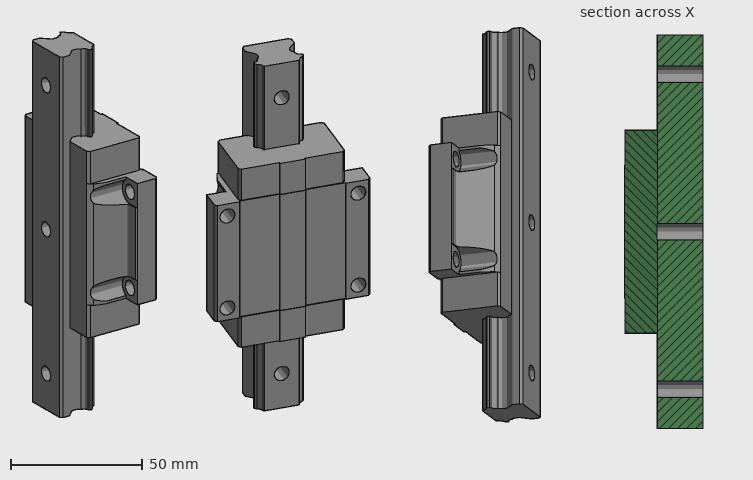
import cadquery as cq
import math


rail_length = 150.0
rail_half_width = 10.0
rail_height = 17.5
rail_foot_chamfer = 1.0
rail_hole_dia = 6.0
rail_hole_pitch = 60.0

waist_half_width = 6.6
waist_bottom = 7.4
waist_top = 9.9
waist_fillet = 1.2
foot_shoulder = waist_bottom - (rail_half_width - waist_half_width)

rib_bottom = 13.4
rib_top = 14.3
lower_groove_start_x = 7.6
lower_groove_start = (lower_groove_start_x, waist_top + lower_groove_start_x - waist_half_width)
lower_groove_mid = (8.1, 12.35)
lower_groove_end = (9.4, 13.0)
upper_groove_start = (9.2, 15.1)
upper_groove_mid = (8.0, 15.9)
upper_groove_end = (7.4, 17.1)
head_half_width = 7.0

carriage_length = 77.5
carriage_bottom = 4.6
carriage_top = 30.0
block_length = 50.5
block_half_length = block_length / 2
land_half_width = 5.2

cap_half_width = 21.5
cap_top = 29.1
cap_land_top = 29.8
cap_chamfer = 1.0

flange_half_width = 31.5
flange_bottom = 20.0
flange_top_chamfer = 1.0
flange_bottom_chamfer = 0.5
top_recess_floor = 29.5
top_recess_half_width = cap_half_width
flank_top_half_width = 26.3
flank_slope_angle = 16.3
flank_fillet = 1.8
flank_bottom = 6.5

mount_hole_dia = 6.0
mount_half_pitch_x = 53.0 / 2
mount_half_pitch_z = 40.0 / 2
spot_face_radius = 5.0
spot_face_height = flange_bottom + flange_bottom_chamfer
end_relief_half_width = 23.75


def half_outline(start):
    """Begin a right-hand half section in the XY plane on the axis of symmetry."""
    return cq.Workplane("XY").moveTo(*start)


def extrude_symmetric(half, length):
    """Close the half section across X = 0 and extrude it centred on Z = 0."""
    return half.mirrorY().extrude(length / 2, both=True)


def fillet_lengthwise(solid, corners, radius):
    """Round the lengthwise edges that pass through the given XY corners, on both sides."""
    for x, y in corners:
        for side in (-1, 1):
            edge = cq.selectors.NearestToPointSelector((side * x, y, 0))
            solid = solid.edges("|Z").edges(edge).fillet(radius)
    return solid


def rail_bar():
    """Rail section without mounting holes; it also shapes the carriage channel."""
    half = (
        half_outline((0, 0))
        .lineTo(rail_half_width - rail_foot_chamfer, 0)
        .lineTo(rail_half_width, rail_foot_chamfer)
        .lineTo(rail_half_width, foot_shoulder)
        .lineTo(waist_half_width, waist_bottom)
        .lineTo(waist_half_width, waist_top)
        .lineTo(*lower_groove_start)
        .threePointArc(lower_groove_mid, lower_groove_end)
        .lineTo(rail_half_width, rib_bottom)
        .lineTo(rail_half_width, rib_top)
        .lineTo(*upper_groove_start)
        .threePointArc(upper_groove_mid, upper_groove_end)
        .lineTo(head_half_width, rail_height)
        .lineTo(0, rail_height)
    )
    corners = [
        (rail_half_width, foot_shoulder),
        (waist_half_width, waist_bottom),
        (waist_half_width, waist_top),
    ]
    return fillet_lengthwise(extrude_symmetric(half, rail_length), corners, waist_fillet)


def holes_along_y(points, diameter):
    """Drill tools through the full height at the given (x, z) points."""
    return cq.Workplane("XZ").pushPoints(points).circle(diameter / 2).extrude(-carriage_top)


def make_rail():
    hole_points = [(0, step * rail_hole_pitch) for step in (-1, 0, 1)]
    return rail_bar().cut(holes_along_y(hole_points, rail_hole_dia))


def end_cap_bar():
    """Full-length bar whose two ends stand out of the block as the end caps."""
    half = (
        half_outline((0, carriage_bottom))
        .lineTo(cap_half_width - cap_chamfer, carriage_bottom)
        .lineTo(cap_half_width, carriage_bottom + cap_chamfer)
        .lineTo(cap_half_width, cap_top - cap_chamfer)
        .lineTo(cap_half_width - cap_chamfer, cap_top)
        .lineTo(land_half_width, cap_top)
        .lineTo(land_half_width, cap_land_top)
        .lineTo(0, cap_land_top)
    )
    return extrude_symmetric(half, carriage_length)


def flanged_block():
    flank_drop = flange_bottom - flank_bottom
    flank_bottom_half_width = flank_top_half_width - flank_drop * math.tan(math.radians(flank_slope_angle))
    half = (
        half_outline((0, carriage_bottom))
        .lineTo(cap_half_width - cap_chamfer, carriage_bottom)
        .lineTo(flank_bottom_half_width, flank_bottom)
        .lineTo(flank_top_half_width, flange_bottom)
        .lineTo(flange_half_width - flange_bottom_chamfer, flange_bottom)
        .lineTo(flange_half_width, flange_bottom + flange_bottom_chamfer)
        .lineTo(flange_half_width, carriage_top - flange_top_chamfer)
        .lineTo(flange_half_width - flange_top_chamfer, carriage_top)
        .lineTo(top_recess_half_width, carriage_top)
        .lineTo(top_recess_half_width, top_recess_floor)
        .lineTo(land_half_width, top_recess_floor)
        .lineTo(land_half_width, carriage_top)
        .lineTo(0, carriage_top)
    )
    block = extrude_symmetric(half, block_length)
    return fillet_lengthwise(block, [(flank_top_half_width, flange_bottom)], flank_fillet)


def spot_face_tool(side, end):
    """Clearance below one mounting hole: a round pocket opened out to the block corner."""
    round_pocket = (
        cq.Workplane("XZ")
        .center(side * mount_half_pitch_x, end * mount_half_pitch_z)
        .circle(spot_face_radius)
        .extrude(-spot_face_height)
    )
    inner_z = mount_half_pitch_z - spot_face_radius

    def corner_box(inner_x, outer_x, near_z):
        return (
            cq.Workplane("XZ")
            .moveTo(side * inner_x, end * near_z)
            .lineTo(side * outer_x, end * near_z)
            .lineTo(side * outer_x, end * block_half_length)
            .lineTo(side * inner_x, end * block_half_length)
            .close()
            .extrude(-spot_face_height)
        )

    outer_box = corner_box(mount_half_pitch_x, flange_half_width, inner_z)
    end_box = corner_box(end_relief_half_width, flange_half_width, mount_half_pitch_z)
    return round_pocket.union(outer_box).union(end_box)


def make_carriage():
    block = flanged_block()
    mount_points = []
    for side in (-1, 1):
        for end in (-1, 1):
            block = block.cut(spot_face_tool(side, end))
            mount_points.append((side * mount_half_pitch_x, end * mount_half_pitch_z))
    block = block.cut(holes_along_y(mount_points, mount_hole_dia))
    core = cq.Workplane("XY").box(2 * flange_half_width, 2 * carriage_top, block_length)
    caps = end_cap_bar().cut(core)
    return block.union(caps).cut(rail_bar())


rail = make_rail()
carriage = make_carriage()

result = cq.Compound.makeCompound([rail.solids().val(), carriage.solids().val()])